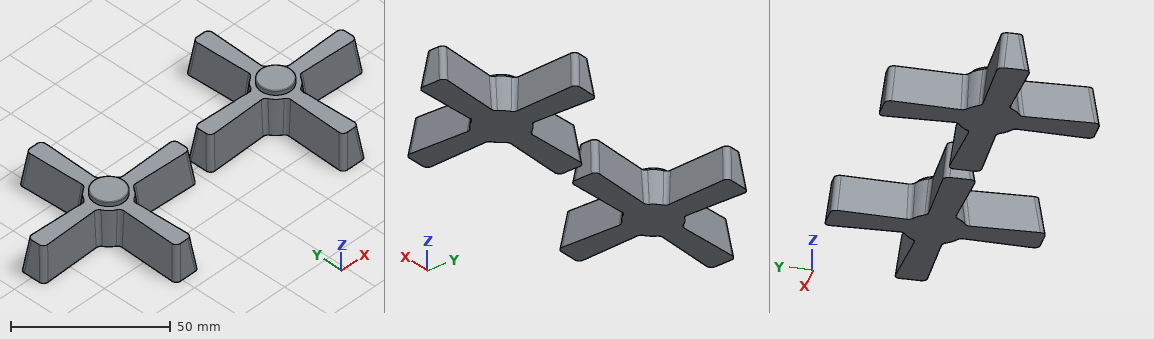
import cadquery as cq

overall_length = 144.3
overall_height = 15.5
handle_span = 69.3
handle_spacing = overall_length - handle_span

handle_height = 13.5
arm_count = 4
arm_reach = handle_span / 2
arm_tip_width = 10.5
arm_axis_width = 8.1
hub_radius = 10.0
draft_angle = 7.0
tip_corner_radius = 1.9
root_fillet_radius = 2.0

button_diameter = 12.7
button_height = overall_height - handle_height
button_edge_radius = 0.3


def upright_edges_within(x_range, y_range):
    """Select the edges centred in the given x and y ranges, around mid height of the handle."""
    low_z = handle_height / 4
    high_z = handle_height - low_z
    return cq.selectors.BoxSelector(
        (x_range[0], y_range[0], low_z),
        (x_range[1], y_range[1], high_z),
    )


def make_arm():
    """One drafted arm from the hub axis along +X, wider at the tip and with rounded tip corners."""
    arm = (
        cq.Workplane("XY")
        .moveTo(0, -arm_axis_width / 2)
        .lineTo(arm_reach, -arm_tip_width / 2)
        .lineTo(arm_reach, arm_tip_width / 2)
        .lineTo(0, arm_axis_width / 2)
        .close()
        .extrude(handle_height, taper=draft_angle)
    )
    tip_corners = upright_edges_within((arm_reach / 2, arm_reach), (-arm_tip_width, arm_tip_width))
    return arm.edges(tip_corners).fillet(tip_corner_radius)


def make_handle():
    """A conical hub with equally spaced arms, blended where the arms meet the hub."""
    handle = cq.Workplane("XY").circle(hub_radius).extrude(handle_height, taper=draft_angle)
    arm = make_arm()
    for index in range(arm_count):
        handle = handle.union(arm.rotate((0, 0, 0), (0, 0, 1), index * 360 / arm_count))
    hub_range = (-hub_radius, hub_radius)
    return handle.edges(upright_edges_within(hub_range, hub_range)).fillet(root_fillet_radius)


def make_button():
    """A flat disc resting on the hub, with a rounded top edge."""
    return (
        cq.Workplane("XY")
        .workplane(offset=handle_height)
        .circle(button_diameter / 2)
        .extrude(button_height)
        .faces(">Z")
        .edges()
        .fillet(button_edge_radius)
    )


handle = make_handle().solids().val()
button = make_button().solids().val()
bodies = []
for center_x in (-handle_spacing / 2, handle_spacing / 2):
    offset = cq.Vector(center_x, 0, 0)
    bodies.append(handle.translate(offset))
    bodies.append(button.translate(offset))

result = cq.Compound.makeCompound(bodies)